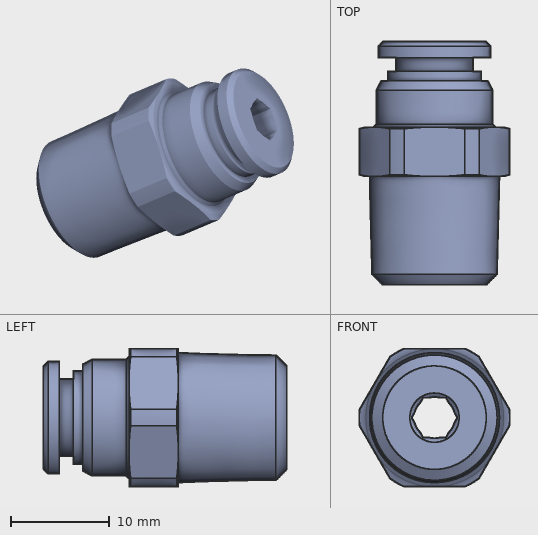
import cadquery as cq
import math


thread_length = 11.0
thread_end_diameter = 12.7
thread_root_diameter = 13.2
thread_chamfer_length = 1.1
thread_face_diameter = 10.5

hex_across_flats = 14.0
hex_corner_diameter = 15.3
hex_length = 5.0
hex_chamfer_length = 0.17

body_diameter = 11.8
body_length = 4.7
body_chamfer_length = 0.95
body_face_diameter = 10.8
body_root_diameter = 12.4
body_root_length = 0.3

collar_diameter = 9.5
collar_length = 0.95
neck_diameter = 7.85
neck_length = 1.4
ring_diameter = 11.4
ring_length = 1.65
ring_chamfer = 0.5

bore_diameter = 4.15
socket_across_flats = 4.0
bore_mouth_diameter = 5.0
bore_chamfer_length = 0.45

hex_end = thread_length + hex_length
body_end = hex_end + body_length
collar_end = body_end + collar_length
neck_end = collar_end + neck_length
total_length = neck_end + ring_length


def turned(profile):
    """Solid of revolution about Y from (diameter, y) points, closed along the axis."""
    first_y = profile[0][1]
    last_y = profile[-1][1]
    points = [(0, first_y)] + [(diameter / 2, y) for diameter, y in profile] + [(0, last_y)]
    return cq.Workplane("XY").polyline(points).close().revolve(360, (0, 0, 0), (0, 1, 0))


def hex_prism(across_flats, start, length):
    """Hexagonal prism along +Y with corners on the X axis and flats facing Z."""
    across_corners = across_flats / math.cos(math.pi / 6)
    plane = cq.Workplane("XZ", origin=(0, start, 0))
    return plane.polygon(6, across_corners).extrude(-length)


def make_thread():
    return turned([
        (thread_face_diameter, 0),
        (thread_end_diameter, thread_chamfer_length),
        (thread_root_diameter, thread_length),
    ])


def make_hexagon():
    chamfered_blank = turned([
        (hex_across_flats, thread_length),
        (hex_corner_diameter, thread_length + hex_chamfer_length),
        (hex_corner_diameter, hex_end - hex_chamfer_length),
        (hex_across_flats, hex_end),
    ])
    return hex_prism(hex_across_flats, thread_length, hex_length).intersect(chamfered_blank)


def make_push_in_end():
    return turned([
        (body_root_diameter, hex_end),
        (body_diameter, hex_end + body_root_length),
        (body_diameter, body_end - body_chamfer_length),
        (body_face_diameter, body_end),
        (collar_diameter, body_end),
        (collar_diameter, collar_end),
        (neck_diameter, collar_end),
        (neck_diameter, neck_end),
        (ring_diameter, neck_end),
        (ring_diameter, total_length - ring_chamfer),
        (ring_diameter - 2 * ring_chamfer, total_length),
    ])


def make_bore():
    round_bore = turned([
        (bore_mouth_diameter, 0),
        (bore_diameter, bore_chamfer_length),
        (bore_diameter, total_length),
    ])
    return round_bore.union(hex_prism(socket_across_flats, 0, total_length))


body = make_thread().union(make_hexagon()).union(make_push_in_end())
result = body.cut(make_bore())